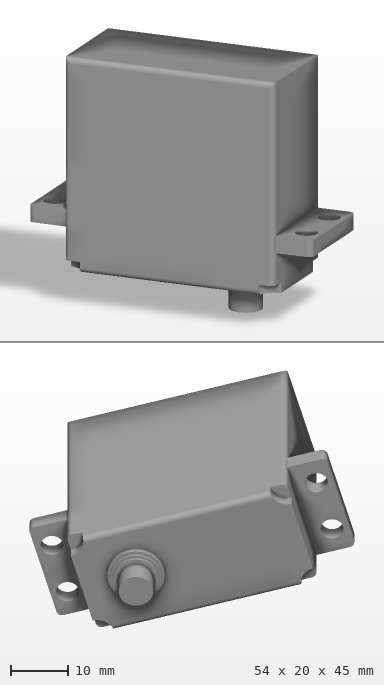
import cadquery as cq

case_length = 40.0
case_width = 20.0
case_height = 39.0
case_edge_radius = 1.0

relief_radius = 3.0
relief_height = 2.0

flange_length = 54.0
flange_width = 19.0
flange_thickness = 3.0
flange_bottom = 8.0
flange_corner_radius = 1.0

hole_diameter = 4.0
hole_edge_distance = 3.0
hole_pitch_x = flange_length - 2 * hole_edge_distance
hole_pitch_y = 10.0

shaft_x = 10.0
shaft_y = 0.6
shaft_diameter = 6.0
shaft_length = 4.0
output_stages = [
    (10.0, 1.0),
    (9.0, 0.5),
    (8.0, 0.5),
    (shaft_diameter, shaft_length),
]


def make_case():
    """Box with every edge of its two large Y faces rounded and its bottom corners relieved."""
    case = (
        cq.Workplane("XY")
        .box(case_length, case_width, case_height, centered=(True, True, False))
        .faces("<Y or >Y")
        .edges()
        .fillet(case_edge_radius)
    )
    reliefs = (
        cq.Workplane("XY")
        .rect(case_length, case_width, forConstruction=True)
        .vertices()
        .circle(relief_radius)
        .extrude(relief_height)
    )
    return case.cut(reliefs)


def make_flange():
    """Plate with rounded corners and two through holes near each end."""
    plate = (
        cq.Workplane("XY")
        .workplane(offset=flange_bottom)
        .rect(flange_length, flange_width)
        .extrude(flange_thickness)
        .edges("|Z")
        .fillet(flange_corner_radius)
    )
    return (
        plate.faces(">Z")
        .workplane()
        .rect(hole_pitch_x, hole_pitch_y, forConstruction=True)
        .vertices()
        .hole(hole_diameter)
    )


def make_output():
    """Collar steps and shaft stacked downwards from the underside of the case."""
    output = cq.Workplane("XY")
    stage_top = 0.0
    for diameter, height in output_stages:
        stage = (
            cq.Workplane("XY", origin=(shaft_x, shaft_y, stage_top))
            .circle(diameter / 2)
            .extrude(-height)
        )
        output = output.union(stage)
        stage_top -= height
    return output


result = make_case().union(make_flange()).union(make_output())